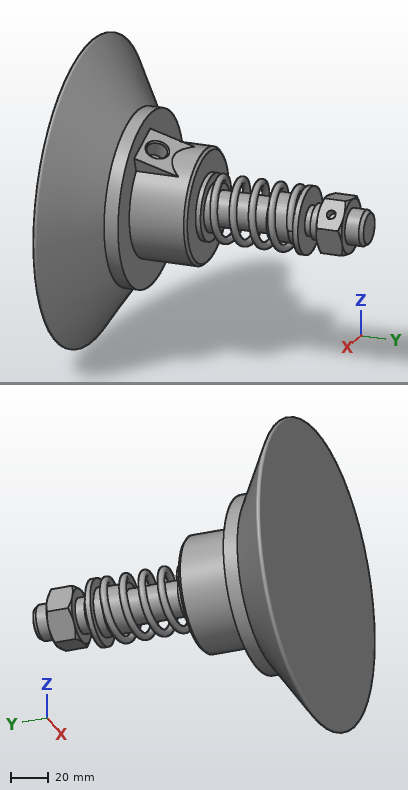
import cadquery as cq
import math


cup_diameter = 171.5
lip_radius = 1.25
flange_diameter = 98.5
flange_start = 27.0
flange_end = 35.0

hub_diameter = 65.0
hub_end = 67.7
hub_chamfer_length = 1.5
hub_chamfer_depth = 1.5
boss_angle = 20.0
boss_width = 25.5
boss_base_reach = 38.7
boss_slope = 20.0
port_height = 43.3
port_bore_diameter = 11.45
port_mouth_diameter = 13.16
port_depth = 10.0
port_tip_angle = 118.0

washer_diameter = 37.5
lower_washer_end = 70.5
collar_diameter = 27.5
collar_end = 75.0
rod_diameter = 20.0
sleeve_start = 106.1
sleeve_diameter = 26.67
upper_collar_start = 118.5
upper_washer_start = 123.3
upper_washer_end = 126.3
neck_diameter = 16.93
neck_end = 130.0
rod_end = 160.0
rod_chamfer_length = 2.2
rod_chamfer_depth = 1.5

nut_start = 135.3
nut_end = 149.9
nut_sides = 6
nut_across_flats = 30.0
nut_angle = 10.0
nut_chamfer_angle = 30.0
nut_hole_diameter = 4.92

wire_diameter = 4.0
spring_pitch = 11.0
spring_turns = 4.5
spring_start_angle = 10.0
spring_first_crossing = 72.1

AXIS_START = (0, 0, 0)
AXIS_END = (0, 1, 0)


def cylinder_along_y(diameter, start, end):
    base = cq.Workplane("XZ", origin=(0, start, 0))
    return base.circle(diameter / 2).extrude(start - end)


def make_cup():
    """Disc with a rounded lip, its cone tangent to the lip, and the flange."""
    lip_x = cup_diameter / 2 - lip_radius
    lip_y = lip_radius
    flange_radius = flange_diameter / 2

    run = flange_radius - lip_x
    rise = flange_start - lip_y
    normal = math.atan2(rise, run) - math.acos(lip_radius / math.hypot(run, rise))
    middle = (normal - math.pi / 2) / 2

    def lip_point(angle):
        return (lip_x + lip_radius * math.cos(angle), lip_y + lip_radius * math.sin(angle))

    profile = (
        cq.Workplane("XY")
        .lineTo(lip_x, 0)
        .threePointArc(lip_point(middle), lip_point(normal))
        .lineTo(flange_radius, flange_start)
        .lineTo(flange_radius, flange_end)
        .lineTo(0, flange_end)
        .close()
    )
    return profile.revolve(360, AXIS_START, AXIS_END)


def make_chamfered_cylinder(diameter, start, end, chamfer_length, chamfer_depth):
    radius = diameter / 2
    profile = (
        cq.Workplane("XY")
        .moveTo(0, start)
        .lineTo(radius, start)
        .lineTo(radius, end - chamfer_length)
        .lineTo(radius - chamfer_depth, end)
        .lineTo(0, end)
        .close()
    )
    return profile.revolve(360, AXIS_START, AXIS_END)


def make_boss():
    """Wedge on the side of the hub, built toward +Z and turned into place."""
    lean = math.tan(math.radians(boss_slope))
    wedge_end = hub_end - hub_chamfer_length
    top_reach = boss_base_reach - lean * (wedge_end - flange_end)
    wedge = (
        cq.Workplane("YZ")
        .moveTo(flange_end, 0)
        .lineTo(flange_end, boss_base_reach)
        .lineTo(wedge_end, top_reach)
        .lineTo(wedge_end, 0)
        .close()
        .extrude(boss_width / 2, both=True)
    )
    return wedge.rotate(AXIS_START, AXIS_END, boss_angle)


def make_port():
    """Countersunk blind bore with a drill point, square to the boss face."""
    slope = math.radians(boss_slope)
    reach = boss_base_reach - math.tan(slope) * (port_height - flange_end)
    face = cq.Plane(
        origin=(0, port_height, reach),
        xDir=(1, 0, 0),
        normal=(0, math.sin(slope), math.cos(slope)),
    )
    bore_radius = port_bore_diameter / 2
    tip_depth = port_depth + bore_radius / math.tan(math.radians(port_tip_angle / 2))
    mouth_depth = (port_mouth_diameter - port_bore_diameter) / 2
    section = cq.Plane(origin=face.origin, xDir=face.xDir, normal=-face.yDir)
    bore = (
        cq.Workplane(section)
        .lineTo(port_mouth_diameter / 2, 0)
        .lineTo(bore_radius, -mouth_depth)
        .lineTo(bore_radius, -port_depth)
        .lineTo(0, -tip_depth)
        .close()
        .revolve(360, AXIS_START, AXIS_END)
    )
    return bore.rotate(AXIS_START, AXIS_END, boss_angle)


def make_nut():
    """Hexagon with corners chamfered at both ends and a set screw hole in one flat."""
    flat_reach = nut_across_flats / 2
    half_side_angle = 180 / nut_sides
    corner_reach = flat_reach / math.cos(math.radians(half_side_angle))
    hexagon = (
        cq.Workplane("XZ", origin=(0, nut_start, 0))
        .polygon(nut_sides, 2 * corner_reach)
        .extrude(nut_start - nut_end)
    )

    corner_drop = (corner_reach - flat_reach) * math.tan(math.radians(nut_chamfer_angle))
    envelope = (
        cq.Workplane("XY")
        .moveTo(0, nut_start)
        .lineTo(flat_reach, nut_start)
        .lineTo(corner_reach, nut_start + corner_drop)
        .lineTo(corner_reach, nut_end - corner_drop)
        .lineTo(flat_reach, nut_end)
        .lineTo(0, nut_end)
        .close()
        .revolve(360, AXIS_START, AXIS_END)
    )

    hole = (
        cq.Workplane("YZ", origin=(0, (nut_start + nut_end) / 2, 0))
        .circle(nut_hole_diameter / 2)
        .extrude(corner_reach)
        .rotate(AXIS_START, AXIS_END, -half_side_angle)
    )
    return hexagon.intersect(envelope).cut(hole).rotate(AXIS_START, AXIS_END, -nut_angle)


def make_spring():
    """Right-handed coil whose ends sink into the two washers."""
    coil_radius = (washer_diameter - wire_diameter) / 2
    turns = spring_turns - spring_start_angle / 360
    start_y = spring_first_crossing + spring_pitch * spring_start_angle / 360
    helix = cq.Wire.makeHelix(spring_pitch, spring_pitch * turns, coil_radius)
    coil = (
        cq.Workplane("XZ", origin=(coil_radius, 0, 0))
        .circle(wire_diameter / 2)
        .sweep(cq.Workplane(obj=helix), isFrenet=True)
    )
    return (
        coil.rotate((0, 0, 0), (1, 0, 0), -90)
        .rotate(AXIS_START, AXIS_END, 180 + spring_start_angle)
        .translate((0, start_y, 0))
    )


def make_rod():
    """Rod, washers, collars and sleeve between the hub and the rod tip."""
    steps = [
        (washer_diameter, hub_end, lower_washer_end),
        (collar_diameter, lower_washer_end, collar_end),
        (rod_diameter, collar_end, sleeve_start),
        (sleeve_diameter, sleeve_start, upper_collar_start),
        (collar_diameter, upper_collar_start, upper_washer_start),
        (washer_diameter, upper_washer_start, upper_washer_end),
        (neck_diameter, upper_washer_end, neck_end),
    ]
    rod = make_chamfered_cylinder(rod_diameter, neck_end, rod_end, rod_chamfer_length, rod_chamfer_depth)
    for diameter, start, end in steps:
        rod = rod.union(cylinder_along_y(diameter, start, end))
    return rod


hub = make_chamfered_cylinder(hub_diameter, flange_end, hub_end, hub_chamfer_length, hub_chamfer_depth)
body = make_cup().union(hub).union(make_boss()).cut(make_port())
result = body.union(make_rod()).union(make_nut()).union(make_spring())